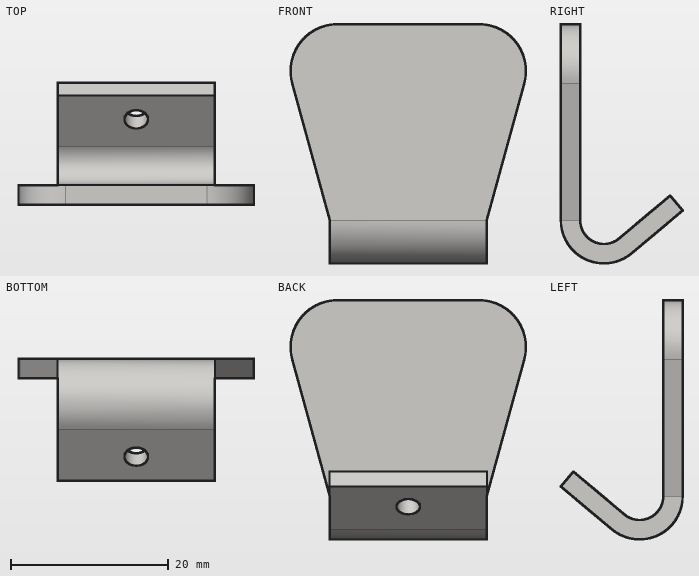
import math

import cadquery as cq

thickness = 2.5
plate_height = 25.0
plate_width = 30.0
corner_radius = 6.0
hook_width = 20.0
inner_radius = 3.0
arm_angle = 40.0
arm_length = 8.5
hole_diameter = 3.0
hole_from_tip = 4.0

outer_radius = inner_radius + thickness
bend_center_y = outer_radius
bend_start = 180.0
bend_end = 270.0 + arm_angle
arm_cos = math.cos(math.radians(arm_angle))
arm_sin = math.sin(math.radians(arm_angle))


def bend_point(radius, angle):
    """Point (y, z) on a bend circle, with the angle measured from +Y."""
    turn = math.radians(angle)
    return (bend_center_y + radius * math.cos(turn), radius * math.sin(turn))


def along_arm(point, distance):
    """Move a (y, z) point up along the arm."""
    return (point[0] + distance * arm_cos, point[1] + distance * arm_sin)


def make_plate():
    """Flat plate: wide rounded top, sides tapering tangentially to the hook width."""
    corner_x = plate_width / 2 - corner_radius
    corner_z = plate_height - corner_radius
    foot_x = hook_width / 2

    foot_distance = math.hypot(foot_x - corner_x, corner_z)
    foot_direction = math.atan2(-corner_z, foot_x - corner_x)
    tangent_angle = foot_direction + math.acos(corner_radius / foot_distance)
    middle_angle = (tangent_angle + math.pi / 2) / 2

    def corner_point(angle, side):
        x = corner_x + corner_radius * math.cos(angle)
        return (side * x, corner_z + corner_radius * math.sin(angle))

    return (
        cq.Workplane("XZ")
        .moveTo(-foot_x, 0)
        .lineTo(foot_x, 0)
        .lineTo(*corner_point(tangent_angle, 1))
        .threePointArc(corner_point(middle_angle, 1), (corner_x, plate_height))
        .lineTo(-corner_x, plate_height)
        .threePointArc(corner_point(middle_angle, -1), corner_point(tangent_angle, -1))
        .close()
        .extrude(-thickness)
    )


def make_hook():
    """Bend below the plate, followed by the straight arm rising away from it."""
    bend_middle = (bend_start + bend_end) / 2
    outer_end = bend_point(outer_radius, bend_end)
    inner_end = bend_point(inner_radius, bend_end)

    return (
        cq.Workplane("YZ")
        .moveTo(*bend_point(outer_radius, bend_start))
        .threePointArc(bend_point(outer_radius, bend_middle), outer_end)
        .lineTo(*along_arm(outer_end, arm_length))
        .lineTo(*along_arm(inner_end, arm_length))
        .lineTo(*inner_end)
        .threePointArc(bend_point(inner_radius, bend_middle), bend_point(inner_radius, bend_start))
        .close()
        .extrude(hook_width / 2, both=True)
    )


def make_arm_hole():
    """Cylinder square to the arm, passing through its full thickness."""
    inner_end = bend_point(inner_radius, bend_end)
    center_y, center_z = along_arm(inner_end, arm_length - hole_from_tip)
    arm_face = cq.Plane(
        origin=(0, center_y, center_z),
        xDir=(1, 0, 0),
        normal=(0, -arm_sin, arm_cos),
    )
    return (
        cq.Workplane(arm_face)
        .circle(hole_diameter / 2)
        .extrude(thickness, both=True)
    )


result = make_plate().union(make_hook()).cut(make_arm_hole())